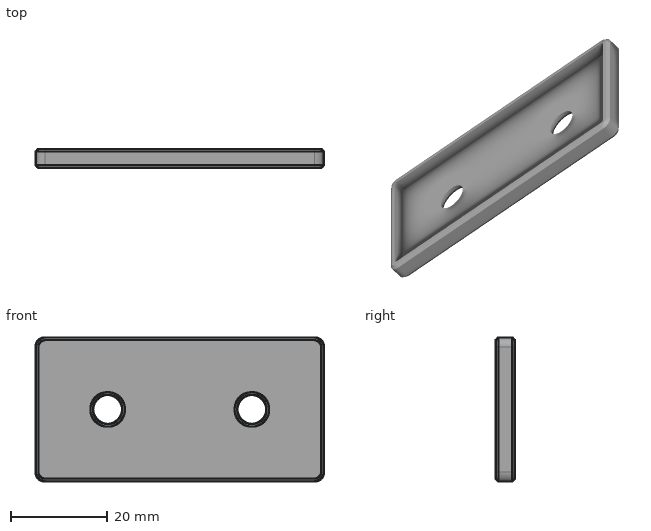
import cadquery as cq

length = 60.0
thickness = 4.0
height = 30.0
corner_radius = 2.0
edge_chamfer = 0.6
wall = 1.5

hole_diameter = 6.0
hole_spacing = length / 2
hole_chamfer = 0.6

front_y = -thickness / 2
back_y = thickness / 2


def make_plate():
    """Plate centred on the origin, with rounded corners and both face outlines chamfered."""
    block = cq.Workplane("XY").box(length, thickness, height)
    rounded = block.edges("|Y").fillet(corner_radius)
    return rounded.faces("<Y or >Y").chamfer(edge_chamfer)


def make_back_pocket():
    """Pocket open at the back that leaves an even wall at the front and around the sides."""
    depth = thickness - wall
    pocket = cq.Workplane("XY").box(length - 2 * wall, depth, height - 2 * wall)
    pocket = pocket.edges("|Y").fillet(corner_radius - wall)
    return pocket.translate((0, back_y - depth / 2, 0))


def make_hole_cutter(x):
    """Hole along Y at the given X, with a 45 degree chamfer at the front face."""
    hole_radius = hole_diameter / 2
    half_profile = [
        (0, front_y),
        (hole_radius + hole_chamfer, front_y),
        (hole_radius, front_y + hole_chamfer),
        (hole_radius, back_y),
        (0, back_y),
    ]
    cutter = cq.Workplane("XY").polyline(half_profile).close().revolve(360, (0, 0, 0), (0, 1, 0))
    return cutter.translate((x, 0, 0))


result = make_plate().cut(make_back_pocket())
for hole_x in (-hole_spacing / 2, hole_spacing / 2):
    result = result.cut(make_hole_cutter(hole_x))